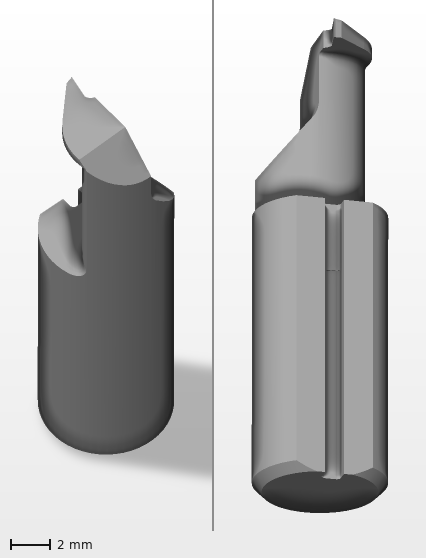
import cadquery as cq
import math

TOTAL_HEIGHT = 25.0
SHANK_RADIUS = 3.5
SHANK_HEIGHT = 15.05
FLAT_X = -2.85
BOTTOM_CHAMFER = 0.5

SPACE = 10.0

SLOT_WIDTH = 1.0
SLOT_DEPTH = 0.85
SLOT_UPPER_DEPTH = 0.8
SLOT_STEP_Z = 11.42
SLOT_CORNER = 0.15

NECK_LEFT_X = -0.18
NECK_RADIUS = 3.08
NECK_CENTER_X = NECK_LEFT_X + NECK_RADIUS
NECK_ROOT_FILLET = 0.75

RAKE_Y = 0.1
RELIEF_TOP_Z = 21.45
RELIEF_RADIUS = 1.5
RELIEF_ANGLE = 50.0

TIP_X = -2.8
HEAD_THICKNESS = 1.02
HEAD_TOP_FALL_Y = 0.07
HEAD_BOTTOM_RISE_Y = 0.07
HEAD_TAPER_X = 0.02
HEAD_ARC_RADIUS = 3.08
HEAD_ARC_X = 1.18
HEAD_CHAMFER_X = 1.42
HEAD_CHAMFER_ANGLE = 45.0
HEAD_FILLET = 0.2
JUNCTION_MARGIN = 0.12

TIP = (TIP_X, 0.02)
TIP_FLANK_START = (-2.72, -0.08)
TIP_FLANK_END = (-2.65, -0.42)
CHIP_GROOVE_START = (-1.4, -0.25)
CHIP_GROOVE_MIDDLE = (-1.22, -0.18)
CHIP_GROOVE_END = (-1.02, RAKE_Y)

HEAD_ARC_START = 20
HEAD_ARC_MIDDLE = -10
HEAD_ARC_END = -45


def shank_cylinder(height):
    return cq.Workplane("XY").circle(SHANK_RADIUS).extrude(height)


def make_shank():
    shank = shank_cylinder(SHANK_HEIGHT).faces("<Z").chamfer(BOTTOM_CHAMFER)
    beyond_flat = cq.Workplane("XY").box(SPACE, SPACE, TOTAL_HEIGHT, centered=(True, True, False))
    shank = shank.cut(beyond_flat.translate((FLAT_X - SPACE / 2, 0, 0)))
    shank = shank.cut(slot_cutter(SLOT_DEPTH, 0, SLOT_STEP_Z))
    return shank.cut(slot_cutter(SLOT_UPPER_DEPTH, SLOT_STEP_Z, SHANK_HEIGHT))


def slot_cutter(depth, bottom_z, top_z):
    """Slot with chamfered inner corners between two heights."""
    cutter = cq.Workplane("XY").box(depth, SLOT_WIDTH, top_z - bottom_z, centered=(False, True, False))
    cutter = cutter.edges("|Z and >X").chamfer(SLOT_CORNER)
    return cutter.translate((FLAT_X, 0, bottom_z))


def make_neck():
    """Neck with a concave root, revolved about its own axis."""
    root_radius = NECK_RADIUS + NECK_ROOT_FILLET
    root_top = SHANK_HEIGHT + NECK_ROOT_FILLET
    arc_reach = NECK_ROOT_FILLET * (1 - math.sqrt(0.5))
    neck = (
        cq.Workplane("XZ")
        .moveTo(0, 0)
        .lineTo(root_radius, 0)
        .lineTo(root_radius, SHANK_HEIGHT)
        .threePointArc((NECK_RADIUS + arc_reach, SHANK_HEIGHT + arc_reach), (NECK_RADIUS, root_top))
        .lineTo(NECK_RADIUS, TOTAL_HEIGHT)
        .lineTo(0, TOTAL_HEIGHT)
        .close()
        .revolve(360, (0, 0, 0), (0, 1, 0))
        .translate((NECK_CENTER_X, 0, 0))
    )
    above_shank = cq.Workplane("XY").box(SPACE, SPACE, TOTAL_HEIGHT, centered=(True, True, False))
    above_shank = above_shank.translate((0, 0, SHANK_HEIGHT))
    return neck.intersect(shank_cylinder(TOTAL_HEIGHT)).intersect(above_shank)


def relief_cutter():
    """Space behind the rake face, ending in an arc and a tangent slope."""
    slope = math.radians(RELIEF_ANGLE)
    middle = slope / 2 + math.pi / 4

    def arc_point(tilt):
        return (
            RAKE_Y + RELIEF_RADIUS * (1 - math.sin(tilt)),
            RELIEF_TOP_Z - RELIEF_RADIUS * math.cos(tilt),
        )

    arc_end = arc_point(slope)
    run = SPACE / 2 - arc_end[0]
    return (
        cq.Workplane("YZ")
        .moveTo(RAKE_Y, TOTAL_HEIGHT)
        .lineTo(RAKE_Y, RELIEF_TOP_Z)
        .threePointArc(arc_point(middle), arc_end)
        .lineTo(SPACE / 2, arc_end[1] - run * math.tan(slope))
        .lineTo(SPACE / 2, TOTAL_HEIGHT)
        .close()
        .extrude(SPACE / 2, both=True)
    )


def sloping_half_space(origin, normal):
    """Large block on the side of a plane that its normal points to."""
    plane = cq.Plane(origin=origin, xDir=(1, 0, -normal[0] / normal[2]), normal=normal)
    return cq.Workplane(plane).rect(4 * SPACE, 4 * SPACE).extrude(SPACE)


def head_top_cutter():
    normal = (HEAD_TAPER_X, -HEAD_TOP_FALL_Y, 1)
    return sloping_half_space((TIP_X, 0, TOTAL_HEIGHT), normal)


def end_chamfer_cutter():
    start_z = TOTAL_HEIGHT - HEAD_TAPER_X * (HEAD_CHAMFER_X - TIP_X)
    normal = (math.tan(math.radians(HEAD_CHAMFER_ANGLE)), -HEAD_TOP_FALL_Y, 1)
    return sloping_half_space((HEAD_CHAMFER_X, 0, start_z), normal)


def head_arc_point(angle):
    """Point on the head's round front, at an angle in degrees from its frontmost point."""
    turn = math.radians(angle)
    return (HEAD_ARC_X + HEAD_ARC_RADIUS * math.sin(turn), RAKE_Y - HEAD_ARC_RADIUS * math.cos(turn))


def make_head():
    """Hooked cutting head with a chip groove behind its edge."""
    arc_end = head_arc_point(HEAD_ARC_START)
    outline = (
        cq.Workplane("XY")
        .moveTo(*TIP)
        .lineTo(*CHIP_GROOVE_START)
        .threePointArc(CHIP_GROOVE_MIDDLE, CHIP_GROOVE_END)
        .lineTo(SHANK_RADIUS, RAKE_Y)
        .lineTo(SHANK_RADIUS, arc_end[1])
        .lineTo(*arc_end)
        .threePointArc(head_arc_point(HEAD_ARC_MIDDLE), head_arc_point(HEAD_ARC_END))
        .lineTo(*TIP_FLANK_END)
        .lineTo(*TIP_FLANK_START)
        .close()
        .extrude(TOTAL_HEIGHT)
    )
    bottom_normal = (-HEAD_TAPER_X, HEAD_BOTTOM_RISE_Y, 1)
    above_bottom = sloping_half_space((TIP_X, 0, TOTAL_HEIGHT - HEAD_THICKNESS), bottom_normal)
    return outline.intersect(above_bottom).intersect(shank_cylinder(TOTAL_HEIGHT))


def make_upper_part():
    """Relieved neck and head, blended where the neck meets the underside of the head."""
    upper_part = make_neck().cut(relief_cutter()).union(make_head())
    underside_z = TOTAL_HEIGHT - HEAD_THICKNESS
    junction = cq.selectors.BoxSelector(
        (NECK_LEFT_X - JUNCTION_MARGIN, -SHANK_RADIUS, underside_z - JUNCTION_MARGIN),
        (SHANK_RADIUS, RAKE_Y + JUNCTION_MARGIN, TOTAL_HEIGHT - JUNCTION_MARGIN),
        boundingbox=True,
    )
    upper_part = upper_part.edges(junction).fillet(HEAD_FILLET)
    return upper_part.cut(head_top_cutter()).cut(end_chamfer_cutter())


result = make_shank().union(make_upper_part())